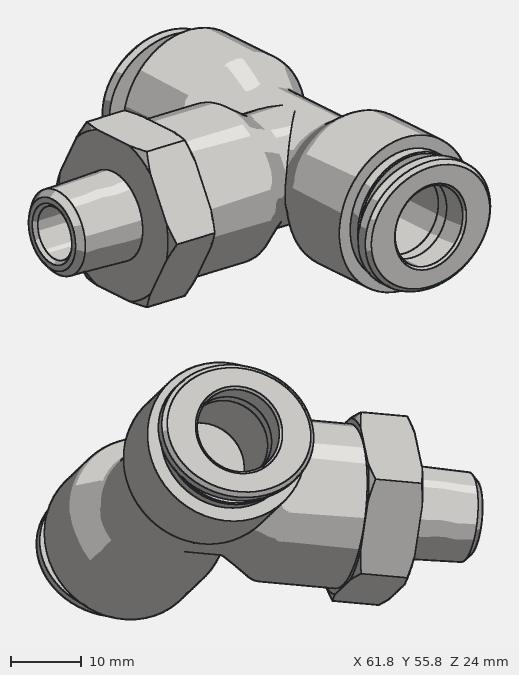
import cadquery as cq
import math


NECK_DIA = 16.95
SOCKET_DIA = 23.5
CONE_START = 8.0
CONE_END = 13.05
ARM_LENGTH = 24.9
CONE_BLEND_RADIUS = 1.85
CONE_EDGE_MARGIN = 0.6
TUBE_BORE_DIA = 12.2
TUBE_BORE_FLOOR = 13.6

COLLAR_DIA = 19.6
COLLAR_THICKNESS = 1.9
COLLAR_CHAMFER = 0.2

FITTING_LENGTH = 61.8
BUTTON_NECK_DIA = 14.2
FLANGE_WIDTH = 22.55
FLANGE_HEIGHT = COLLAR_DIA
FLANGE_THICKNESS = 2.3
FLANGE_CHAMFER = 0.6
BUTTON_BORE_CHAMFER = 0.4
BUTTON_START = ARM_LENGTH + COLLAR_THICKNESS
BUTTON_END = FITTING_LENGTH / 2
FLANGE_START = BUTTON_END - FLANGE_THICKNESS

HEX_SIDES = 6
HEX_ACROSS_FLATS = 24.0
HEX_ACROSS_CORNERS = HEX_ACROSS_FLATS / math.cos(math.pi / HEX_SIDES)
HEX_LENGTH = 8.05
HEX_FACE_DIA = 25.1
HEX_CHAMFER_ANGLE = 25
THREAD_DIA = 13.5
THREAD_TAPER = 1 / 16
THREAD_LENGTH = 11.05
THREAD_CHAMFER = 1.0
STUD_BORE_DIA = 8.0
STUD_BORE_CHAMFER = 0.55
HEX_END = ARM_LENGTH + HEX_LENGTH
STUD_END = HEX_END + THREAD_LENGTH

X_AXIS_END = (1, 0, 0)
Y_AXIS_END = (0, 1, 0)
Z_AXIS_END = (0, 0, 1)
ORIGIN = (0, 0, 0)


def make_arm():
    """One solid arm along +X: neck, cone and socket with blended cone edges."""
    neck_radius = NECK_DIA / 2
    socket_radius = SOCKET_DIA / 2
    outline = [
        (0, 0),
        (0, neck_radius),
        (CONE_START, neck_radius),
        (CONE_END, socket_radius),
        (ARM_LENGTH, socket_radius),
        (ARM_LENGTH, 0),
    ]
    arm = cq.Workplane("XY").polyline(outline).close().revolve(360, ORIGIN, X_AXIS_END)
    cone_edges = cq.selectors.BoxSelector(
        (CONE_START - CONE_EDGE_MARGIN, -SOCKET_DIA, -SOCKET_DIA),
        (CONE_END + CONE_EDGE_MARGIN, SOCKET_DIA, SOCKET_DIA),
    )
    return arm.edges(cone_edges).edges("%CIRCLE").fillet(CONE_BLEND_RADIUS)


def make_tee_body():
    """Two tube sockets and a plain stud arm, joined along mitred necks."""
    arm = make_arm()
    body = arm.union(arm.rotate(ORIGIN, Z_AXIS_END, 180))
    body = body.union(arm.rotate(ORIGIN, Z_AXIS_END, -90))
    bore_depth = ARM_LENGTH - TUBE_BORE_FLOOR
    bore = (
        cq.Workplane("YZ", origin=(TUBE_BORE_FLOOR, 0, 0))
        .circle(TUBE_BORE_DIA / 2)
        .extrude(bore_depth)
    )
    return body.cut(bore).cut(bore.mirror("YZ"))


def make_collar():
    """Ring seated on the mouth of the +X socket."""
    ring = cq.Workplane("YZ", origin=(ARM_LENGTH, 0, 0)).circle(COLLAR_DIA / 2).extrude(COLLAR_THICKNESS)
    ring = ring.faces(">X").edges().chamfer(COLLAR_CHAMFER)
    return ring.faces(">X").workplane().hole(TUBE_BORE_DIA)


def make_release_button():
    """Neck and oval flange of the +X release button, with a chamfered bore."""
    neck_length = FLANGE_START - BUTTON_START
    neck = cq.Workplane("YZ", origin=(BUTTON_START, 0, 0)).circle(BUTTON_NECK_DIA / 2).extrude(neck_length)
    flange = (
        cq.Workplane("YZ", origin=(FLANGE_START, 0, 0))
        .ellipse(FLANGE_WIDTH / 2, FLANGE_HEIGHT / 2)
        .extrude(FLANGE_THICKNESS)
        .faces(">X").edges().chamfer(FLANGE_CHAMFER)
    )
    button = neck.union(flange).faces(">X").workplane().hole(TUBE_BORE_DIA)
    bore_rim = cq.selectors.RadiusNthSelector(0)
    return button.faces(">X").edges("%CIRCLE").edges(bore_rim).chamfer(BUTTON_BORE_CHAMFER)


def make_hexagon():
    """Hexagon with flats facing +Z and -Z, its corners turned down at both ends."""
    prism = (
        cq.Workplane("XZ", origin=(0, -ARM_LENGTH, 0))
        .polygon(HEX_SIDES, HEX_ACROSS_CORNERS)
        .extrude(HEX_LENGTH)
    )
    face_radius = HEX_FACE_DIA / 2
    corner_radius = HEX_ACROSS_CORNERS / 2
    chamfer_depth = (corner_radius - face_radius) * math.tan(math.radians(HEX_CHAMFER_ANGLE))
    turned_profile = [
        (0, -ARM_LENGTH),
        (face_radius, -ARM_LENGTH),
        (corner_radius, -ARM_LENGTH - chamfer_depth),
        (corner_radius, -HEX_END + chamfer_depth),
        (face_radius, -HEX_END),
        (0, -HEX_END),
    ]
    turned = cq.Workplane("XY").polyline(turned_profile).close().revolve(360, ORIGIN, Y_AXIS_END)
    return prism.intersect(turned)


def make_stud():
    """Hexagon and tapered thread blank with a chamfered bore along Y."""
    tapered_length = THREAD_LENGTH - THREAD_CHAMFER
    root_radius = THREAD_DIA / 2
    tip_radius = root_radius - tapered_length * THREAD_TAPER / 2
    thread_profile = [
        (0, -HEX_END),
        (root_radius, -HEX_END),
        (tip_radius, -HEX_END - tapered_length),
        (tip_radius - THREAD_CHAMFER, -STUD_END),
        (0, -STUD_END),
    ]
    thread = cq.Workplane("XY").polyline(thread_profile).close().revolve(360, ORIGIN, Y_AXIS_END)
    stud = make_hexagon().union(thread)
    stud = stud.faces("<Y").workplane(centerOption="CenterOfMass").hole(STUD_BORE_DIA)
    bore_rim = cq.selectors.RadiusNthSelector(0)
    return stud.faces("<Y").edges(bore_rim).chamfer(STUD_BORE_CHAMFER)


tee_body = make_tee_body()
stud = make_stud()

collars = []
release_buttons = []
for turn in (0, 180):
    collars.append(make_collar().rotate(ORIGIN, Z_AXIS_END, turn))
    release_buttons.append(make_release_button().rotate(ORIGIN, Z_AXIS_END, turn))

result = cq.Compound.makeCompound([
    tee_body.val(),
    stud.val(),
    *[collar.val() for collar in collars],
    *[button.val() for button in release_buttons],
])